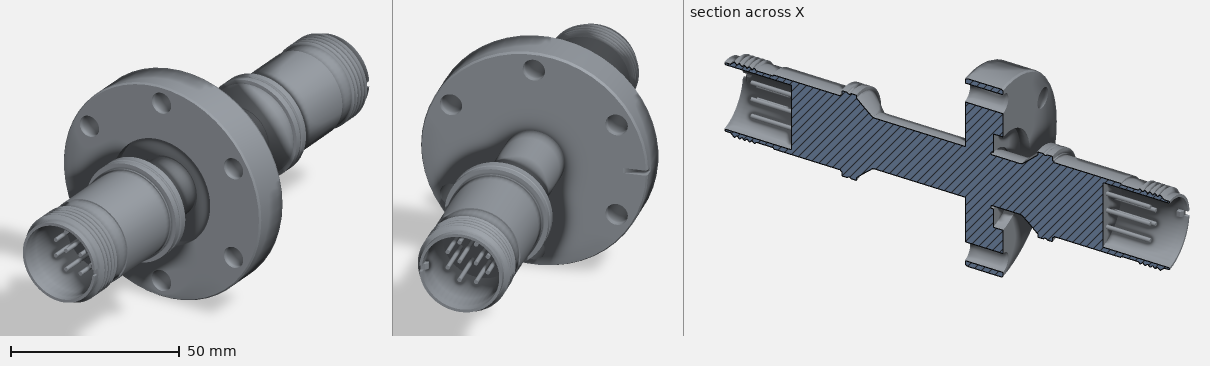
import cadquery as cq
import math

length = 148.7
half_length = length / 2

flange_radius = 35.0
flange_start = 80.3
flange_thickness = 12.8
flange_end = flange_start + flange_thickness
flange_chamfer_radial = 0.5
flange_back_chamfer = 0.9
flange_front_chamfer = 0.6
bolt_circle_radius = 29.5
bolt_hole_radius = 3.4
bolt_count = 6
recess_radius = 17.3
recess_depth = 3.3
weld_groove_radius = 10.4
weld_groove_depth = 0.7
leak_slot_width = 1.6
leak_slot_length = 3.7
leak_slot_depth = 7.5

tube_radius = 9.5
lip_radius = 12.8
lip_length = 2.0
thread_count = 5
thread_crest_radius = 14.1
thread_root_radius = 13.2
first_crest = 3.3
last_crest = 10.0
thread_pitch = (last_crest - first_crest) / (thread_count - 1)
thread_end = 10.5
neck_radius = 13.4
body_start = 16.2
body_radius = 13.8
collar_start = 39.1
collar_radius = 15.9
collar_end = 44.2
collar_step_radius = 14.3
collar_step_length = 0.5
collar_groove_radius = 0.6
collar_groove_depth = 0.5
cone_base_radius = 14.7
cone_end = 49.4
sleeve_radius = 9.7
sleeve_end = 49.8

bore_radius = 11.9
bore_depth = 22.3
pin_radius = 0.67
pin_tip_depth = 7.7
pin_circle_radius = 6.7
pin_circle_count = 8
inner_pin_offset = 2.5

key_width = 2.0
key_inner_radius = 10.5
lip_slot_depth = 1.3
key_length = 1.8
key_embed = 0.5
key_chamfer = 0.7


def cylinder(radius, start, end, x=0.0, z=0.0):
    """Cylinder parallel to Y between two distances from the +Y end."""
    return (
        cq.Workplane("XZ", origin=(x, half_length - start, z))
        .circle(radius)
        .extrude(end - start)
    )


def revolve_profile(points):
    """Body of revolution about Y from (radius, distance from the +Y end) points."""
    outline = [(radius, half_length - distance) for radius, distance in points]
    return cq.Workplane("XY").polyline(outline).close().revolve(360, (0, 0, 0), (0, 1, 0))


def connector_shell():
    """Revolved connector outline from the +Y end to the middle of the part."""
    points = [(0, 0), (lip_radius, 0), (lip_radius, lip_length)]
    for ridge in range(thread_count):
        crest = first_crest + ridge * thread_pitch
        if ridge > 0:
            points.append((thread_root_radius, crest - thread_pitch / 2))
        points.append((thread_crest_radius, crest))
    points += [
        (neck_radius, thread_end),
        (neck_radius, body_start),
        (body_radius, body_start),
        (body_radius, collar_start - collar_step_length),
        (collar_step_radius, collar_start - collar_step_length),
        (collar_step_radius, collar_start),
        (collar_radius, collar_start),
        (collar_radius, collar_end),
        (cone_base_radius, collar_end),
        (sleeve_radius, cone_end),
        (sleeve_radius, sleeve_end),
        (tube_radius, sleeve_end),
        (tube_radius, half_length),
        (0, half_length),
    ]
    shell = revolve_profile(points)

    groove_x = collar_radius - collar_groove_depth + collar_groove_radius
    groove_y = half_length - (collar_start + collar_end) / 2
    groove = (
        cq.Workplane("XY")
        .center(groove_x, groove_y)
        .circle(collar_groove_radius)
        .revolve(360, (-groove_x, 0, 0), (-groove_x, 1, 0))
    )
    return shell.cut(groove)


def pin_positions():
    """X, Z places of the contact pins: a ring and two in the middle."""
    step = 2 * math.pi / pin_circle_count
    ring = [
        (
            pin_circle_radius * math.cos((i + 0.5) * step),
            pin_circle_radius * math.sin((i + 0.5) * step),
        )
        for i in range(pin_circle_count)
    ]
    return ring + [(-inner_pin_offset, 0.0), (inner_pin_offset, 0.0)]


def connector():
    """One complete connector at the +Y end."""
    part = connector_shell().cut(cylinder(bore_radius, 0, bore_depth))
    for x, z in pin_positions():
        pin = cylinder(pin_radius, pin_tip_depth, bore_depth, x, z)
        part = part.union(pin)

    slot = cq.Workplane("XY").box(
        thread_crest_radius - key_inner_radius, lip_slot_depth, key_width, centered=(False, False, True)
    )
    part = part.cut(slot.translate((key_inner_radius, half_length - lip_slot_depth, 0)))

    key_height = bore_radius + key_embed - key_inner_radius
    key = (
        cq.Workplane("XY")
        .box(key_height, key_length, key_width, centered=(False, False, True))
        .edges("<X and >Y")
        .chamfer(key_chamfer)
    )
    return part.union(key.translate((key_inner_radius, half_length - lip_slot_depth - key_length, 0)))


def flange():
    """Bolted flange disc, without the tube that passes through it."""
    chamfered_radius = flange_radius - flange_chamfer_radial
    points = [
        (0, flange_start),
        (chamfered_radius, flange_start),
        (flange_radius, flange_start + flange_back_chamfer),
        (flange_radius, flange_end - flange_front_chamfer),
        (chamfered_radius, flange_end),
        (0, flange_end),
    ]
    disc = revolve_profile(points)

    for i in range(bolt_count):
        angle = math.pi / 2 + i * 2 * math.pi / bolt_count
        x = bolt_circle_radius * math.cos(angle)
        z = bolt_circle_radius * math.sin(angle)
        disc = disc.cut(cylinder(bolt_hole_radius, flange_start, flange_end, x, z))

    recess_floor = flange_end - recess_depth
    disc = disc.cut(cylinder(recess_radius, recess_floor, flange_end))
    disc = disc.cut(cylinder(weld_groove_radius, recess_floor - weld_groove_depth, recess_floor))

    face_y = half_length - flange_start
    slot = (
        cq.Workplane("XY", origin=(0, 0, -leak_slot_width / 2))
        .moveTo(-flange_radius, face_y - leak_slot_length)
        .lineTo(-flange_radius, face_y)
        .lineTo(-flange_radius + leak_slot_depth, face_y)
        .close()
        .extrude(leak_slot_width)
    )
    return disc.cut(slot)


end_connector = connector()
result = flange().union(end_connector).union(end_connector.mirror("XZ"))